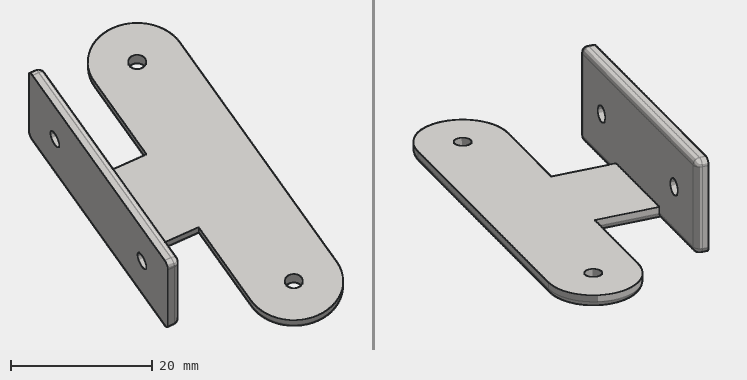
import cadquery as cq

length = 59.0
depth = 26.0
height = 15.0
thickness = 2.0
edge_radius = 1.0
hole_diameter = 2.55

base_width = 14.0
base_hole_spacing = length - base_width
base_center_y = depth - base_width / 2
stem_width = 15.0

upright_length = 40.0
upright_hole_spacing = 25.0


def make_base():
    """Round-ended plate and stem, rounded along the underside."""
    plate = (
        cq.Workplane("XY")
        .center(0, base_center_y)
        .slot2D(length, base_width)
        .extrude(thickness)
    )
    stem = cq.Workplane("XY").box(
        stem_width, base_center_y, thickness, centered=(True, False, False)
    )
    base = plate.union(stem)
    underside_edges = base.faces("<Z").edges("not(<Y)")
    return underside_edges.fillet(edge_radius)


def make_upright():
    """Upright plate with rounded corners, rounded around its back face."""
    upright = cq.Workplane("XY").box(
        upright_length, thickness, height, centered=(True, False, False)
    )
    upright = upright.edges("|Y").fillet(edge_radius)
    back_radius = 0.99 * edge_radius
    return upright.faces(">Y").edges().fillet(back_radius)


def hole_pair(workplane, spacing, hole_depth):
    """Two round cutters set symmetrically about X = 0."""
    centers = [(-spacing / 2, 0), (spacing / 2, 0)]
    return workplane.pushPoints(centers).circle(hole_diameter / 2).extrude(hole_depth)


base_holes = hole_pair(
    cq.Workplane("XY", origin=(0, base_center_y, 0)), base_hole_spacing, thickness
)
upright_holes = hole_pair(
    cq.Workplane("XZ", origin=(0, thickness, height / 2)), upright_hole_spacing, thickness
)

result = make_base().union(make_upright()).cut(base_holes).cut(upright_holes)